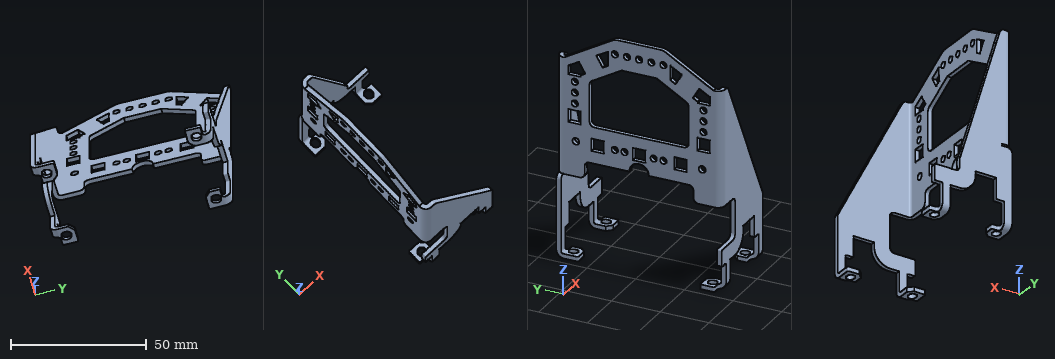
import cadquery as cq
import math

DEPTH = 34.0
WIDTH = 68.0
HEIGHT = 95.0
SHEET = 2.0
BEND_OUTER = 3.0
BEND_INNER = BEND_OUTER - SHEET
EASE = 0.5
ROUND = 2.0
HALF_WIDTH = WIDTH / 2
PANEL_EDGE = HALF_WIDTH - BEND_OUTER

SHOULDER_Z = 83.0
BEND_BOTTOM_Z = 35.0
CREST_HALF = 10.0
CREST_ROUND = 5.0
ROOF_ANGLE = 30
SKIRT_Z = 41.9
TAB_INNER_Y = 22.3
RELIEF_RADIUS = 4.0
WINDOW_HALF = 20.3
WINDOW_BOTTOM_Z = 56.9
WINDOW_TOP_Z = 82.8
WINDOW_TOP_HALF = 7.1

HOLE_DIAMETER = 2.6
OUTER_HOLE_DIAMETER = 2.8
TOP_HOLES_Z = 88.9
TOP_ROW_HALF = 10.0
TOP_HOLES_PITCH = TOP_ROW_HALF / 2
SIDE_HOLES_Y = 26.4
SIDE_HOLES_MID_Z = 69.4
SIDE_HOLES_PITCH = 4.5
LOWER_ROW_Z = 49.5
LOWER_HOLES_Y = (6.0, 10.0)
OUTER_HOLE_Y = 25.9
SQUARE = 5.0
LOWER_SQUARE_Y = 17.0
SIDE_SQUARE_Y = 26.5
SIDE_SQUARE_Z = 59.5
SIDE_SQUARE_HEIGHT = 5.3

UPPER_ROOF_OPENING = [(12.8, 89.3), (17.5, 86.6), (14.9, 82.3), (12.8, 83.5)]
LOWER_ROOF_OPENING = [(24.7, 82.5), (29.1, 80.0), (29.1, 76.5), (24.0, 76.5), (24.0, 77.0), (22.1, 78.2)]

WALL_TOP_X = 5.0
FRONT_SLOPE_END_Z = 26.6
REAR_SLOPE_END_Z = 23.3
WINDOW_X = 11.0
ARM_TOP_Z = 18.0
ARM_BOTTOM_Z = 11.0
ARM_ROUND = ARM_TOP_Z - ARM_BOTTOM_Z
BAY_TOP_Z = 19.95
BEND_RELIEF_Z = 34.1
BEND_RELIEF_LENGTH = 4.5

FOOT_LENGTH = 7.0
LEG_WIDTH = FOOT_LENGTH / 2
FOOT_TIP_Y = 25.0
FOOT_CHAMFER = 2.0
FOOT_RELIEF = 1.1
FOOT_HOLE_X_SIZE = 3.2
FOOT_HOLE_Y_SIZE = 3.8
FOOT_HOLE_Y = 28.6


def rounded_outline(plane, corners):
    """Closed outline through (u, v, radius) corners, each rounded by a tangent arc."""
    count = len(corners)
    path = None
    for i, (u, v, radius) in enumerate(corners):
        corner = cq.Vector(u, v)
        to_last = (cq.Vector(*corners[i - 1][:2]) - corner).normalized()
        to_next = (cq.Vector(*corners[(i + 1) % count][:2]) - corner).normalized()
        half_angle = to_last.getAngle(to_next) / 2
        reach = radius / math.tan(half_angle)
        start = corner + to_last * reach
        path = path.lineTo(start.x, start.y) if path else cq.Workplane(plane).moveTo(start.x, start.y)
        if radius:
            bisector = (to_last + to_next).normalized()
            middle = corner + bisector * (radius / math.sin(half_angle) - radius)
            end = corner + to_next * reach
            path = path.threePointArc((middle.x, middle.y), (end.x, end.y))
    return path.close()


def mirrored(right_half):
    """Full outline from its +u half, listed from top to bottom."""
    return right_half + [(-u, v, radius) for u, v, radius in reversed(right_half)]


def quarter_bend(plane, length):
    """Quarter ring about the plane's origin, in its first quadrant."""
    ring = cq.Workplane(plane).circle(BEND_OUTER).circle(BEND_INNER).extrude(length)
    quadrant = cq.Workplane(plane).rect(BEND_OUTER, BEND_OUTER, centered=False).extrude(length)
    return ring.intersect(quadrant)


def panel_blank():
    roof_slope = math.tan(math.radians(ROOF_ANGLE))
    roof_end = CREST_HALF + (HEIGHT - SHOULDER_Z) / roof_slope
    outline = mirrored([
        (CREST_HALF, HEIGHT, CREST_ROUND),
        (roof_end, SHOULDER_Z, 0),
        (PANEL_EDGE, SHOULDER_Z, 0),
        (PANEL_EDGE, BEND_BOTTOM_Z, 0),
        (TAB_INNER_Y, BEND_BOTTOM_Z, ROUND),
        (TAB_INNER_Y, SKIRT_Z, ROUND),
    ])
    roof_drop = (WINDOW_HALF - WINDOW_TOP_HALF) * roof_slope
    window = mirrored([
        (WINDOW_TOP_HALF, WINDOW_TOP_Z, 0),
        (WINDOW_HALF, WINDOW_TOP_Z - roof_drop, ROUND),
        (WINDOW_HALF, WINDOW_BOTTOM_Z, ROUND),
    ])
    blank = rounded_outline("YZ", outline).extrude(SHEET)
    relief = cq.Workplane("YZ").center(0, SKIRT_Z).circle(RELIEF_RADIUS).extrude(SHEET)
    return blank.cut(rounded_outline("YZ", window).extrude(SHEET)).cut(relief)


def cut_panel_holes(panel):
    small_holes = [(step * TOP_HOLES_PITCH, TOP_HOLES_Z) for step in range(-2, 3)]
    outer_holes = []
    lower_squares = [(0, LOWER_ROW_Z)]
    side_squares = []
    for side in (-1, 1):
        for step in (-1, 0, 1):
            small_holes.append((side * SIDE_HOLES_Y, SIDE_HOLES_MID_Z + step * SIDE_HOLES_PITCH))
        for y in LOWER_HOLES_Y:
            small_holes.append((side * y, LOWER_ROW_Z))
        outer_holes.append((side * OUTER_HOLE_Y, LOWER_ROW_Z))
        lower_squares.append((side * LOWER_SQUARE_Y, LOWER_ROW_Z))
        side_squares.append((side * SIDE_SQUARE_Y, SIDE_SQUARE_Z))

    face = cq.Workplane("YZ")
    panel = panel.cut(face.pushPoints(small_holes).circle(HOLE_DIAMETER / 2).extrude(SHEET))
    panel = panel.cut(face.pushPoints(outer_holes).circle(OUTER_HOLE_DIAMETER / 2).extrude(SHEET))
    panel = panel.cut(face.pushPoints(lower_squares).rect(SQUARE, SQUARE).extrude(SHEET))
    panel = panel.cut(face.pushPoints(side_squares).rect(SQUARE, SIDE_SQUARE_HEIGHT).extrude(SHEET))
    for opening in (UPPER_ROOF_OPENING, LOWER_ROOF_OPENING):
        cutter = face.polyline(opening).close().extrude(SHEET)
        panel = panel.cut(cutter).cut(cutter.mirror("XZ"))
    return panel


def panel_bend():
    """Vertical bend joining the panel to the -Y wall."""
    bend = quarter_bend("XY", SHOULDER_Z - BEND_BOTTOM_Z).rotate((0, 0, 0), (0, 0, 1), 180)
    return bend.translate((BEND_OUTER, -PANEL_EDGE, BEND_BOTTOM_Z))


FAR_FOOT_X = DEPTH - FOOT_LENGTH
LOWER_EDGE = [
    (WINDOW_X, ARM_TOP_Z, ROUND),
    (0, ARM_TOP_Z, EASE),
    (0, ARM_BOTTOM_Z, EASE),
    (LEG_WIDTH, ARM_BOTTOM_Z, EASE),
    (LEG_WIDTH, BEND_OUTER, 0),
    (FOOT_LENGTH, BEND_OUTER, 0),
    (FOOT_LENGTH, ARM_BOTTOM_Z, 0),
    (WINDOW_X + ARM_ROUND, ARM_BOTTOM_Z, ARM_ROUND),
    (WINDOW_X + ARM_ROUND, BAY_TOP_Z, 0),
    (FAR_FOOT_X, BAY_TOP_Z, 0),
    (FAR_FOOT_X, ARM_BOTTOM_Z, EASE),
    (FAR_FOOT_X + LEG_WIDTH, ARM_BOTTOM_Z, EASE),
    (FAR_FOOT_X + LEG_WIDTH, BEND_OUTER, 0),
    (DEPTH, BEND_OUTER, 0),
]

FRONT_UPPER_EDGE = [
    (DEPTH, FRONT_SLOPE_END_Z, ROUND),
    (WALL_TOP_X, SHOULDER_Z, ROUND),
    (BEND_OUTER, SHOULDER_Z, 0),
    (BEND_OUTER, BEND_BOTTOM_Z, 0),
    (WINDOW_X, BEND_BOTTOM_Z, ROUND),
]

REAR_UPPER_EDGE = [
    (DEPTH, BEND_RELIEF_Z, ROUND),
    (DEPTH - BEND_RELIEF_LENGTH, BEND_RELIEF_Z, 0),
    (DEPTH - BEND_RELIEF_LENGTH, BEND_BOTTOM_Z, 0),
    (DEPTH - BEND_OUTER, BEND_BOTTOM_Z, 0),
    (DEPTH - BEND_OUTER, SHOULDER_Z, 0),
    (DEPTH - WALL_TOP_X, SHOULDER_Z, ROUND),
    (WINDOW_X, REAR_SLOPE_END_Z, ROUND),
]


def foot(x_start, chamfer_at_end):
    """Inward foot of the -Y wall with its bend, starting at x_start."""
    x_end = x_start + FOOT_LENGTH
    if chamfer_at_end:
        tip = [
            (x_start, -FOOT_TIP_Y, EASE),
            (x_end - FOOT_CHAMFER, -FOOT_TIP_Y, 0),
            (x_end, -FOOT_TIP_Y - FOOT_CHAMFER, 0),
        ]
    else:
        tip = [
            (x_start, -FOOT_TIP_Y - FOOT_CHAMFER, 0),
            (x_start + FOOT_CHAMFER, -FOOT_TIP_Y, 0),
            (x_end, -FOOT_TIP_Y, EASE),
        ]
    outline = tip + [(x_end, -PANEL_EDGE, 0), (x_start, -PANEL_EDGE, EASE)]
    plate = rounded_outline("XY", outline).extrude(SHEET)

    hole = (
        cq.Workplane("XY")
        .center(x_start + FOOT_LENGTH / 2, -FOOT_HOLE_Y)
        .slot2D(FOOT_HOLE_Y_SIZE, FOOT_HOLE_X_SIZE, 90)
        .extrude(SHEET)
    )

    bend = quarter_bend("YZ", FOOT_LENGTH).rotate((0, 0, 0), (1, 0, 0), 180)
    bend = bend.translate((x_start, -PANEL_EDGE, BEND_OUTER))
    relief = [
        (x_start + LEG_WIDTH, -PANEL_EDGE, FOOT_RELIEF),
        (x_start + LEG_WIDTH, -HALF_WIDTH, 0),
        (x_start, -HALF_WIDTH, 0),
        (x_start, -PANEL_EDGE, 0),
    ]
    bend = bend.cut(rounded_outline("XY", relief).extrude(BEND_OUTER))
    return plate.cut(hole).union(bend)


def side_wall(upper_edge):
    """Wall on the -Y side with its two feet."""
    wall = rounded_outline("XZ", LOWER_EDGE + upper_edge).extrude(SHEET)
    wall = wall.translate((0, SHEET - HALF_WIDTH, 0))
    return wall.union(foot(0, True)).union(foot(FAR_FOOT_X, False))


panel = cut_panel_holes(panel_blank())
bend = panel_bend()
front_wall = side_wall(FRONT_UPPER_EDGE)
rear_wall = side_wall(REAR_UPPER_EDGE).rotate((DEPTH / 2, 0, 0), (DEPTH / 2, 0, 1), 180)

result = panel.union(bend).union(bend.mirror("XZ")).union(front_wall).union(rear_wall).clean()